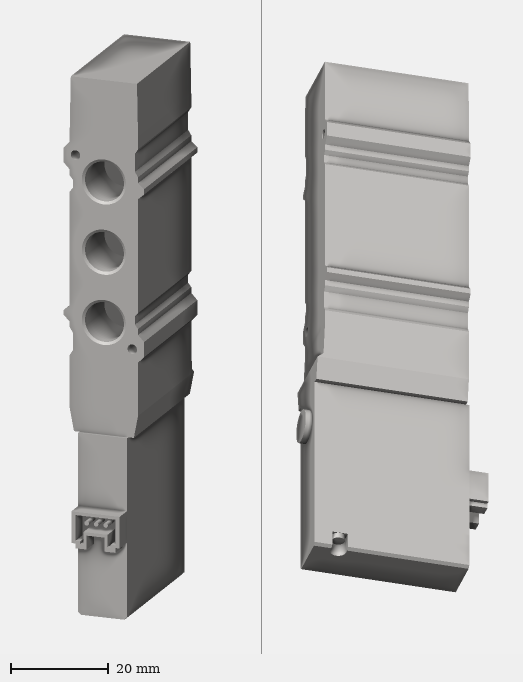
import cadquery as cq

total_height = 115.1
total_width = 17.6
connector_front_y = -4.8
pin_back_y = 33.6

body_half_width = 7.5
body_back_y = 30.6
body_bottom_z = 39.0
port_center_z = 78.2
top_half_width = 7.3
top_draft_start_z = 103.8
bottom_half_width = 6.6
bottom_taper_start_z = 43.9
rear_draft_start_z = 52.7
rear_chamfer_start_z = 44.9
rear_chamfer_start_y = 31.0

rail_reach = total_width / 2 - body_half_width
groove_depth = 0.7
large_joint_offset = 19.9
large_joint_mouth = 6.0
large_rail_crest = 3.2
large_groove_floor = 3.8
small_joint_offset = 13.9
small_joint_mouth = 3.5
small_rail_crest = 1.2
small_groove_floor = 1.7

port_pitch = 15.1
port_diameter = 8.5
port_mouth_diameter = 9.7
port_mouth_depth = 0.3
port_depth = 11.5
mount_hole_diameter = 2.1
mount_hole_x = 6.2
mount_hole_offset = 20.1

solenoid_width = 10.7
solenoid_half_width = solenoid_width / 2
solenoid_front_y = -0.7
solenoid_back_y = 32.2
solenoid_edge_chamfer = 0.6
override_pin_diameter = 7.0
override_pin_z = 31.3

notch_center_y = 26.8
notch_width = 3.3
notch_depth = 3.1
notch_height = 3.7
button_diameter = 2.8
button_bottom_z = 2.5

connector_bottom_z = 15.5
connector_top_z = 23.4
connector_step_z = 16.6
connector_half_width = 5.3
connector_foot_half_width = 4.4
cavity_half_width = 4.4
cavity_top_z = 22.7
cavity_step_z = 17.1
cavity_foot_half_width = 3.3
cavity_depth = 4.1
key_half_width = 2.6
key_top_z = 19.2
key_wall = 0.7
contact_diameter = 1.0
contact_pitch = 2.1
contact_z = 21.1
contact_length = 3.8


def prism(points, y_front, y_back):
    """Extrude a closed X-Z outline from y_front to y_back."""
    plane = cq.Workplane("XZ", origin=(0, y_front, 0))
    return plane.polyline(points).close().extrude(y_front - y_back)


def box(x_range, y_range, z_range):
    (x0, x1), (y0, y1), (z0, z1) = x_range, y_range, z_range
    return cq.Workplane("XY").box(x1 - x0, y1 - y0, z1 - z0, centered=False).translate((x0, y0, z0))


def cylinder_along_y(diameter, x, z, y_start, length):
    """Cylinder that starts at y_start and runs toward +Y."""
    return cq.Workplane("XZ", origin=(x, y_start, z)).circle(diameter / 2).extrude(-length)


def joint(center, mouth, crest, reach):
    """Trapezoid on the left flank, listed downward; a positive reach stands out."""
    base_x = -body_half_width
    crest_x = base_x - reach
    return [
        (base_x, center + mouth / 2),
        (crest_x, center + crest / 2),
        (crest_x, center - crest / 2),
        (base_x, center - mouth / 2),
    ]


def valve_body():
    left_flank = (
        joint(large_joint_offset, large_joint_mouth, large_rail_crest, rail_reach)
        + joint(small_joint_offset, small_joint_mouth, small_groove_floor, -groove_depth)
        + joint(-small_joint_offset, small_joint_mouth, small_rail_crest, rail_reach)
        + joint(-large_joint_offset, large_joint_mouth, large_groove_floor, -groove_depth)
    )
    left_side = [(x, port_center_z + z) for x, z in left_flank]
    right_side = [(-x, port_center_z - z) for x, z in left_flank]
    outline = (
        [(-top_half_width, total_height), (-body_half_width, top_draft_start_z)]
        + left_side
        + [(-body_half_width, bottom_taper_start_z), (-bottom_half_width, body_bottom_z)]
        + [(bottom_half_width, body_bottom_z), (body_half_width, bottom_taper_start_z)]
        + right_side
        + [(body_half_width, top_draft_start_z), (top_half_width, total_height)]
    )
    body = prism(outline, 0, solenoid_back_y)
    return body.cut(rear_relief())


def rear_relief():
    """Space behind the valve body, above the rear foot that meets the solenoid."""
    profile = [
        (body_back_y, total_height),
        (body_back_y, rear_draft_start_z),
        (rear_chamfer_start_y, rear_chamfer_start_z),
        (solenoid_back_y, bottom_taper_start_z),
        (solenoid_back_y, total_height),
    ]
    reach = body_half_width + rail_reach
    return cq.Workplane("YZ").polyline(profile).close().extrude(reach, both=True)


def ports():
    cutters = cq.Workplane("XY")
    mouth_radius = port_mouth_diameter / 2
    for step in (-1, 0, 1):
        z = port_center_z + step * port_pitch
        mouth = cq.Solid.makeCone(
            mouth_radius, port_diameter / 2, port_mouth_depth, cq.Vector(0, 0, z), cq.Vector(0, 1, 0)
        )
        cutters = cutters.add(cylinder_along_y(port_diameter, 0, z, 0, port_depth)).add(mouth)
    return cutters.combine()


def mount_holes():
    cutters = cq.Workplane("XY")
    for side in (-1, 1):
        z = port_center_z - side * mount_hole_offset
        cutters = cutters.add(
            cylinder_along_y(mount_hole_diameter, side * mount_hole_x, z, 0, body_back_y)
        )
    return cutters.combine()


def solenoid():
    block = box(
        (-solenoid_half_width, solenoid_half_width),
        (solenoid_front_y, solenoid_back_y),
        (0, body_bottom_z),
    )
    block = block.faces("<Z").edges("|Y").chamfer(solenoid_edge_chamfer)
    pin_length = pin_back_y - solenoid_back_y
    pin = cylinder_along_y(override_pin_diameter, 0, override_pin_z, solenoid_back_y, pin_length)
    return block.union(pin).cut(notch())


def notch():
    """Round-ended slot entering from the -X face, with a button hanging from its ceiling."""
    center_x = -solenoid_half_width + notch_depth - notch_width / 2
    y0 = notch_center_y - notch_width / 2
    channel = box((-solenoid_half_width, center_x), (y0, y0 + notch_width), (0, notch_height))
    center = cq.Workplane("XY").center(center_x, notch_center_y)
    slot_end = center.circle(notch_width / 2).extrude(notch_height)
    button = (
        center.workplane(offset=button_bottom_z)
        .circle(button_diameter / 2)
        .extrude(notch_height - button_bottom_z)
    )
    return channel.union(slot_end).cut(button)


def stepped_outline(half_width, foot_half_width, z_top, z_step, z_bottom):
    return [
        (-half_width, z_top),
        (-half_width, z_step),
        (-foot_half_width, z_step),
        (-foot_half_width, z_bottom),
        (foot_half_width, z_bottom),
        (foot_half_width, z_step),
        (half_width, z_step),
        (half_width, z_top),
    ]


def connector():
    shell = prism(
        stepped_outline(
            connector_half_width,
            connector_foot_half_width,
            connector_top_z,
            connector_step_z,
            connector_bottom_z,
        ),
        connector_front_y,
        solenoid_front_y,
    )
    cavity_back_y = connector_front_y + cavity_depth
    cavity = prism(
        stepped_outline(
            cavity_half_width, cavity_foot_half_width, cavity_top_z, cavity_step_z, connector_step_z
        ),
        connector_front_y,
        cavity_back_y,
    )
    depth = (connector_front_y, cavity_back_y)
    key = box((-key_half_width, key_half_width), depth, (connector_step_z, key_top_z))
    keyway_half_width = key_half_width - key_wall
    keyway = box(
        (-keyway_half_width, keyway_half_width), depth, (connector_bottom_z, key_top_z - key_wall)
    )
    shell = shell.cut(cavity.cut(key)).cut(keyway)
    for step in (-1, 0, 1):
        contact = cylinder_along_y(
            contact_diameter,
            step * contact_pitch,
            contact_z,
            cavity_back_y - contact_length,
            contact_length,
        )
        shell = shell.union(contact)
    return shell


valve = valve_body().cut(ports()).cut(mount_holes())
lower_block = solenoid().union(connector())
result = valve.union(lower_block)